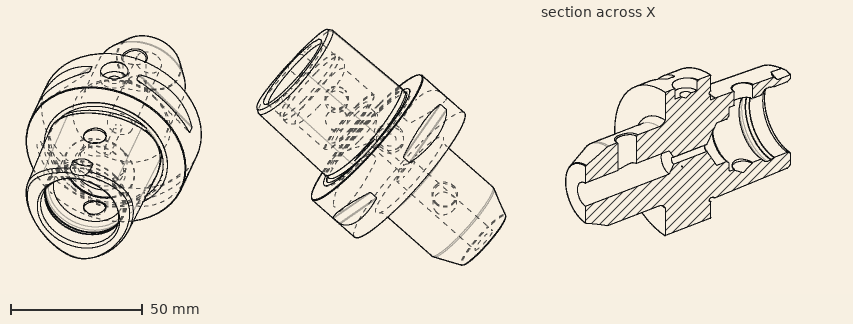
import cadquery as cq
import math


SHANK_LENGTH = 38.0
GAUGE_RADIUS = 44.0 / 2
LOBE_HEIGHT = 1.4
TAPER_PER_SIDE = 1 / 40
LOBE_COUNT = 3
LOBE_ANGLE = -90
END_CHAMFER_LENGTH = 1.6
END_CHAMFER_HEIGHT = 1.0

NECK_LENGTH = 1.9
NECK_RELIEF = 0.1
NECK_LOBE_RADIUS = 22.6
NECK_CONE_LENGTH = 0.9

FLANGE_RADIUS = 63.0 / 2
FLANGE_LENGTH = 22.0
FLANGE_CHAMFER = 0.3
FACE_GROOVE_OUTER_RADIUS = 24.3
FACE_GROOVE_DEPTH = 0.8

SLOT_Y = 12.0
SLOT_COUNT = 4
SLOT_FLOOR_DISTANCE = 27.8
SLOT_FLOOR_WIDTH = 3.3
SLOT_FLANK_ANGLE = 30
SLOT_CORNER_ROUND = 0.4
CHIP_RADIUS = 5.2
CHIP_DEPTH = 4.6
CHIP_CHAMFER = 0.2
CHIP_TIP_RADIUS = 2.4

NOSE_LENGTH = 38.0
NOSE_RADIUS = 35.0 / 2
NOSE_TIP_RADIUS = 12.7
NOSE_TAPER_LENGTH = 10.7
NOSE_SHOULDER_ROUND = 1.6
NOSE_TIP_CHAMFER = 0.3
NOSE_ROOT_RADIUS = 3.3
NOSE_ROOT_HEIGHT = 1.8

TOOL_BORE_RADIUS = 5.0
TOOL_BORE_DEPTH = 40.0
SCREW_Y = 40.0
SCREW_RADIUS = 4.4
SCREW_CHAMFER = 0.5

ENTRY_RADIUS = 15.4
ENTRY_CHAMFER_HEIGHT = 0.9
ENTRY_CHAMFER_LENGTH = 1.6
ENTRY_DEPTH = 7.8
STEP_RADIUS = 15.7
STEP_DEPTH = 9.5
CLAMP_GROOVE_RADIUS = 16.0
CLAMP_GROOVE_DEPTH = 11.2
CLAMP_GROOVE_ROUND = 2.0
GROOVE_CONE_ANGLE = 45
INNER_RADIUS = 13.9
INNER_DEPTH = 29.4
INNER_CORNER_CHAMFER = 0.3
PILOT_RADIUS = 9.2
PILOT_CHAMFER = 1.1
PILOT_DEPTH = 35.3
COOLANT_RADIUS = 2.8 / 2

CROSS_HOLE_Y = -15.4
CROSS_HOLE_RADIUS = 4.2
CROSS_HOLE_CHAMFER = 0.4
CROSS_HOLE_FLOOR_Z = -14.3

NOTCH_RADIUS = 5.9
NOTCH_FLOOR_Z = 18.1
NOTCH_LENGTH = 6.3

DRILL_TIP_ANGLE = 118
CLEARANCE = 1.0

NOSE_TIP_Y = FLANGE_LENGTH + NOSE_LENGTH


def tip_height(radius):
    """Height of the cone a drill of this radius leaves."""
    return radius / math.tan(math.radians(DRILL_TIP_ANGLE / 2))


def turned(points):
    """Revolve a closed (radius, Y) outline about the Y axis."""
    return cq.Workplane("XY").polyline(points).close().revolve(360, (0, 0, 0), (0, 1, 0))


def turned_across(points, y):
    """Revolve a closed (radius, Z) outline about the Z direction at this Y."""
    plane = cq.Workplane("XZ", origin=(0, y, 0))
    return plane.polyline(points).close().revolve(360, (0, 0, 0), (0, 1, 0))


def polygon_point(mean_radius, y, angle):
    """Point of the lobed outline whose normal points at this angle."""
    phase = LOBE_COUNT * (angle - math.radians(LOBE_ANGLE))
    support = mean_radius + LOBE_HEIGHT * math.cos(phase)
    slope = -LOBE_COUNT * LOBE_HEIGHT * math.sin(phase)
    x = support * math.cos(angle) - slope * math.sin(angle)
    z = support * math.sin(angle) + slope * math.cos(angle)
    return cq.Vector(x, y, z)


def polygon_wire(mean_radius, y):
    """Lobed outline made of one curve per lobe and one per flank."""
    curve_count = 2 * LOBE_COUNT
    span = 2 * math.pi / curve_count
    steps = 8
    edges = []
    for index in range(curve_count):
        start = math.radians(LOBE_ANGLE) + (index - 0.5) * span
        angles = [start + span * step / steps for step in range(steps + 1)]
        points = [polygon_point(mean_radius, y, angle) for angle in angles]
        tangents = [cq.Vector(-math.sin(angle), 0, math.cos(angle)) for angle in (angles[0], angles[-1])]
        edges.append(cq.Edge.makeSpline(points, tangents=tangents))
    return cq.Wire.assembleEdges(edges)


def polygon_frustum(start_radius, start_y, end_radius, end_y):
    """Solid between two lobed outlines."""
    wires = [polygon_wire(start_radius, start_y), polygon_wire(end_radius, end_y)]
    return cq.Workplane(cq.Solid.makeLoft(wires, True))


def make_shank():
    """Lobed taper with a chamfered end and a neck whose lobes are turned down."""
    taper_end_y = -SHANK_LENGTH + END_CHAMFER_LENGTH
    taper_end_radius = GAUGE_RADIUS - TAPER_PER_SIDE * (SHANK_LENGTH - END_CHAMFER_LENGTH - NECK_LENGTH)
    taper = polygon_frustum(GAUGE_RADIUS, -NECK_LENGTH, taper_end_radius, taper_end_y)
    chamfer = polygon_frustum(
        taper_end_radius, taper_end_y, taper_end_radius - END_CHAMFER_HEIGHT, -SHANK_LENGTH
    )
    neck_radius = GAUGE_RADIUS - NECK_RELIEF
    neck = polygon_frustum(neck_radius, FACE_GROOVE_DEPTH, neck_radius, -NECK_LENGTH)
    lobe_limit = turned([
        (0, FACE_GROOVE_DEPTH),
        (NECK_LOBE_RADIUS, FACE_GROOVE_DEPTH),
        (NECK_LOBE_RADIUS, NECK_CONE_LENGTH - NECK_LENGTH),
        (NECK_LOBE_RADIUS + NECK_CONE_LENGTH, -NECK_LENGTH),
        (0, -NECK_LENGTH),
    ])
    return taper.union(chamfer).union(neck.intersect(lobe_limit))


def make_flange_and_nose():
    """Turned body with a round groove in the contact face and a tapered nose."""
    root_angle = math.acos(1 - NOSE_ROOT_HEIGHT / NOSE_ROOT_RADIUS)
    root_top_y = FLANGE_LENGTH + NOSE_ROOT_RADIUS * math.sin(root_angle)
    root_mid = (
        NOSE_RADIUS + NOSE_ROOT_RADIUS * (1 - math.cos(root_angle / 2)),
        root_top_y - NOSE_ROOT_RADIUS * math.sin(root_angle / 2),
    )
    groove_mid_radius = (FACE_GROOVE_OUTER_RADIUS + NECK_LOBE_RADIUS) / 2
    shoulder_y = NOSE_TIP_Y - NOSE_TAPER_LENGTH
    body = (
        cq.Workplane("XY")
        .moveTo(0, 0)
        .lineTo(NECK_LOBE_RADIUS, 0)
        .threePointArc((groove_mid_radius, FACE_GROOVE_DEPTH), (FACE_GROOVE_OUTER_RADIUS, 0))
        .lineTo(FLANGE_RADIUS - FLANGE_CHAMFER, 0)
        .lineTo(FLANGE_RADIUS, FLANGE_CHAMFER)
        .lineTo(FLANGE_RADIUS, FLANGE_LENGTH)
        .lineTo(NOSE_RADIUS + NOSE_ROOT_HEIGHT, FLANGE_LENGTH)
        .threePointArc(root_mid, (NOSE_RADIUS, root_top_y))
        .lineTo(NOSE_RADIUS, shoulder_y)
        .lineTo(NOSE_TIP_RADIUS, NOSE_TIP_Y - NOSE_TIP_CHAMFER)
        .lineTo(NOSE_TIP_RADIUS - NOSE_TIP_CHAMFER, NOSE_TIP_Y)
        .lineTo(0, NOSE_TIP_Y)
        .close()
        .revolve(360, (0, 0, 0), (0, 1, 0))
    )
    shoulder_edge = cq.selectors.NearestToPointSelector((0, shoulder_y, 0))
    return body.edges(shoulder_edge).fillet(NOSE_SHOULDER_ROUND)


def make_shank_bore():
    """Entry, clamping groove, inner bore and drilled pilot, from the shank end inward."""
    end_y = -SHANK_LENGTH
    floor_y = end_y + INNER_DEPTH
    pilot_y = end_y + PILOT_DEPTH
    groove_y = end_y + CLAMP_GROOVE_DEPTH
    cone_angle = math.radians(GROOVE_CONE_ANGLE)

    def round_point(angle):
        """Point on the rounding that leads from the groove into its cone."""
        radius = CLAMP_GROOVE_RADIUS - CLAMP_GROOVE_ROUND * (1 - math.cos(angle))
        return (radius, groove_y + CLAMP_GROOVE_ROUND * math.sin(angle))

    cone_radius, cone_y = round_point(cone_angle)
    inner_y = cone_y + (cone_radius - INNER_RADIUS) / math.tan(cone_angle)
    return (
        cq.Workplane("XY")
        .moveTo(0, end_y)
        .lineTo(ENTRY_RADIUS + ENTRY_CHAMFER_HEIGHT, end_y)
        .lineTo(ENTRY_RADIUS, end_y + ENTRY_CHAMFER_LENGTH)
        .lineTo(ENTRY_RADIUS, end_y + ENTRY_DEPTH)
        .lineTo(STEP_RADIUS, end_y + ENTRY_DEPTH)
        .lineTo(STEP_RADIUS, end_y + STEP_DEPTH)
        .lineTo(CLAMP_GROOVE_RADIUS, end_y + STEP_DEPTH)
        .lineTo(CLAMP_GROOVE_RADIUS, groove_y)
        .threePointArc(round_point(cone_angle / 2), (cone_radius, cone_y))
        .lineTo(INNER_RADIUS, inner_y)
        .lineTo(INNER_RADIUS, floor_y - INNER_CORNER_CHAMFER)
        .lineTo(INNER_RADIUS - INNER_CORNER_CHAMFER, floor_y)
        .lineTo(PILOT_RADIUS + PILOT_CHAMFER, floor_y)
        .lineTo(PILOT_RADIUS, floor_y + PILOT_CHAMFER)
        .lineTo(PILOT_RADIUS, pilot_y)
        .lineTo(0, pilot_y + tip_height(PILOT_RADIUS))
        .close()
        .revolve(360, (0, 0, 0), (0, 1, 0))
    )


def make_tool_bore():
    """Blind bore for the tool, joined to the shank bore by a coolant passage."""
    floor_y = NOSE_TIP_Y - TOOL_BORE_DEPTH
    bore = turned([
        (0, NOSE_TIP_Y),
        (TOOL_BORE_RADIUS, NOSE_TIP_Y),
        (TOOL_BORE_RADIUS, floor_y),
        (0, floor_y - tip_height(TOOL_BORE_RADIUS)),
    ])
    coolant = turned([
        (0, -SHANK_LENGTH),
        (COOLANT_RADIUS, -SHANK_LENGTH),
        (COOLANT_RADIUS, floor_y),
        (0, floor_y),
    ])
    return bore.union(coolant)


def make_slot(angle):
    """Trapezoidal slot across the flange, facing this angle about Y."""
    reach = FLANGE_RADIUS + CLEARANCE
    floor_half = SLOT_FLOOR_WIDTH / 2
    mouth_half = floor_half + (reach - SLOT_FLOOR_DISTANCE) * math.tan(math.radians(SLOT_FLANK_ANGLE))
    return (
        cq.Workplane("XY")
        .polyline([
            (SLOT_FLOOR_DISTANCE, SLOT_Y - floor_half),
            (reach, SLOT_Y - mouth_half),
            (reach, SLOT_Y + mouth_half),
            (SLOT_FLOOR_DISTANCE, SLOT_Y + floor_half),
        ])
        .close()
        .extrude(FLANGE_RADIUS, both=True)
        .faces("<X")
        .edges("|Z")
        .fillet(SLOT_CORNER_ROUND)
        .rotate((0, 0, 0), (0, 1, 0), angle)
    )


def make_notch():
    """Round-bottomed notch that ends in a 45 degree cone."""
    floor_y = -SHANK_LENGTH + NOTCH_LENGTH
    outline = [
        (0, -SHANK_LENGTH),
        (NOTCH_RADIUS, -SHANK_LENGTH),
        (NOTCH_RADIUS, floor_y),
        (0, floor_y + NOTCH_RADIUS),
    ]
    return turned(outline).translate((0, 0, NOTCH_FLOOR_Z + NOTCH_RADIUS))


def make_chip_pocket():
    """Flat-bottomed pocket with the tip of a smaller drill in its floor."""
    floor_z = FLANGE_RADIUS - CHIP_DEPTH
    outline = [
        (0, FLANGE_RADIUS + CLEARANCE),
        (CHIP_RADIUS + CHIP_CHAMFER + CLEARANCE, FLANGE_RADIUS + CLEARANCE),
        (CHIP_RADIUS, FLANGE_RADIUS - CHIP_CHAMFER),
        (CHIP_RADIUS, floor_z),
        (CHIP_TIP_RADIUS, floor_z),
        (0, floor_z - tip_height(CHIP_TIP_RADIUS)),
    ]
    return turned_across(outline, SLOT_Y)


def make_cross_hole():
    """Chamfered drilled hole that starts on the +Z flank of the taper."""
    flank_z = GAUGE_RADIUS - LOBE_HEIGHT + TAPER_PER_SIDE * (CROSS_HOLE_Y + NECK_LENGTH)
    outline = [
        (0, flank_z + CLEARANCE),
        (CROSS_HOLE_RADIUS + CROSS_HOLE_CHAMFER + CLEARANCE, flank_z + CLEARANCE),
        (CROSS_HOLE_RADIUS, flank_z - CROSS_HOLE_CHAMFER),
        (CROSS_HOLE_RADIUS, CROSS_HOLE_FLOOR_Z),
        (0, CROSS_HOLE_FLOOR_Z - tip_height(CROSS_HOLE_RADIUS)),
    ]
    return turned_across(outline, CROSS_HOLE_Y)


def cut_screw_hole(body):
    """Clamping screw hole into the tool bore, its mouth chamfered along the nose surface."""
    hole = cq.Workplane("XY", origin=(0, SCREW_Y, 0)).circle(SCREW_RADIUS).extrude(NOSE_RADIUS + CLEARANCE)
    mouth = cq.selectors.NearestToPointSelector((0, SCREW_Y, NOSE_RADIUS))
    return body.cut(hole).edges(mouth).chamfer(SCREW_CHAMFER)


result = make_flange_and_nose().union(make_shank())
result = result.cut(make_shank_bore()).cut(make_tool_bore()).cut(make_notch())
for slot_index in range(SLOT_COUNT):
    result = result.cut(make_slot((slot_index + 0.5) * 360 / SLOT_COUNT))
result = cut_screw_hole(result).cut(make_chip_pocket()).cut(make_cross_hole())